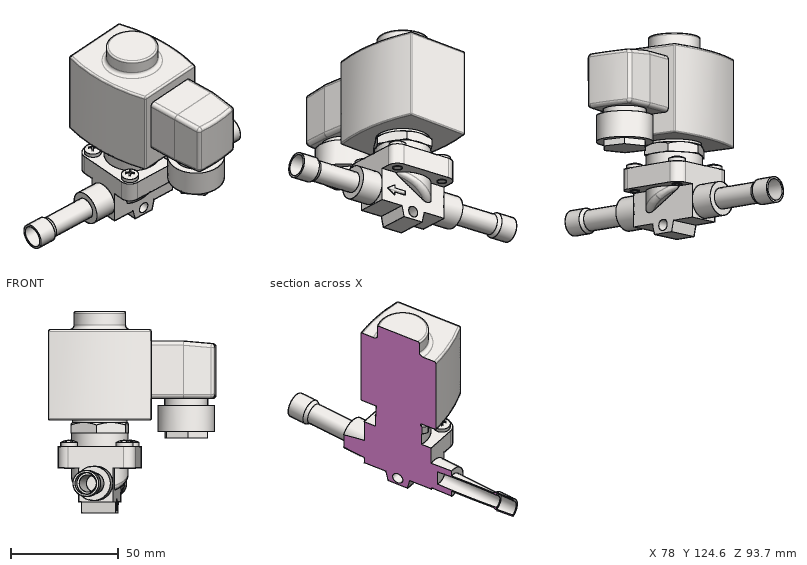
import cadquery as cq
import math


body_bottom = 5.2
pipe_axis_z = 13.8
flange_bottom = 21.0
flange_top = 30.9
nut_bottom = 37.2
nut_top = 42.1
coil_bottom = 43.2
coil_top = 85.3
cap_top = 93.7

body_turn = -6.0
overall_length = 124.6
body_half_length = 18.1
collar_dia = 16.0
body_width = collar_dia
collar_end = 29.0
pipe_dia = 10.0
pipe_bore = 8.0
pipe_bore_end = 21.4
socket_dia = 12.1
socket_bore = 10.1
socket_start = 53.3
flare_length = 1.9
turn_rad = math.radians(abs(body_turn))
pipe_tip = (overall_length / 2 - socket_dia / 2 * math.sin(turn_rad)) / math.cos(turn_rad)

neck_dia = 26.4
seat_tilt = 30.0
seat_rounding = 2.6
seat_floor_z = 14.7
seat_top = 26.2

screw_offset = 13.0
screw_head_dia = 8.0
screw_rim_height = 1.9
screw_head_height = 3.0
screw_shank_dia = 4.5
screw_shank_stickout = 0.4
recess_span = 4.0
recess_width = 0.7
recess_depth = 1.0

nut_across_flats = 25.4
nut_chamfer_angle = 30.0

foot_bottom_length = 10.6
foot_top_length = 13.0
foot_hole_dia = 5.2
foot_hole_z = 3.9

arrow_tip_y = 14.8
arrow_shoulder_y = 10.7
arrow_tail_y = 4.6
arrow_z = 12.1
arrow_half_head = 2.5
arrow_half_shaft = 1.0
arrow_depth = 0.2

coil_width = 47.8
coil_depth_middle = 41.1
coil_depth_ends = 34.1
coil_corner_rounding = 0.6
coil_top_rounding = 1.0
coil_bottom_rounding = 0.6
cap_dia = 24.0
cap_rounding = 0.9
cap_root_rounding = 2.0
cap_root_dia = cap_dia + 2 * cap_root_rounding

plug_bottom = 53.2
plug_size = 26.8
plug_taper_x = 38.9
plug_taper = 5.0
plug_corner_x = 52.8
plug_tip_x = 54.1
plug_rounding = 2.0
plug_tip_rounding = 1.7
gland_x = 40.1
gland_neck_dia = 20.0
gland_nut_dia = 26.4
gland_nut_top = 50.1
gland_nut_bottom = 37.9
gland_hex_bottom = 34.9
gland_hex_corner_dia = 22.0
gland_hex_turn = 34.0


def disc(dia, bottom, top):
    """Upright cylinder on the Z axis."""
    return cq.Workplane("XY", origin=(0, 0, bottom)).circle(dia / 2).extrude(top - bottom)


def make_seat():
    """Round chamber under the flange, cut off by a tilted floor with a rounded rim."""
    drop = body_half_length * math.tan(math.radians(seat_tilt))
    keep = (
        cq.Workplane("YZ", origin=(-body_half_length, 0, 0))
        .moveTo(-body_half_length, seat_floor_z - drop)
        .lineTo(body_half_length, seat_floor_z + drop)
        .lineTo(body_half_length, seat_top)
        .lineTo(-body_half_length, seat_top)
        .close()
        .extrude(2 * body_half_length)
    )
    seat = disc(neck_dia, 0, seat_top).intersect(keep)
    return seat.faces("<Z").edges().fillet(seat_rounding)


def make_foot():
    """Tapered mounting foot running across the body."""
    return (
        cq.Workplane("YZ", origin=(-body_width / 2, 0, 0))
        .moveTo(-foot_bottom_length / 2, 0)
        .lineTo(foot_bottom_length / 2, 0)
        .lineTo(foot_top_length / 2, body_bottom)
        .lineTo(-foot_top_length / 2, body_bottom)
        .close()
        .extrude(body_width)
    )


def make_pipe():
    """Pipe towards +Y: collar, tube and flared solder socket."""
    return (
        cq.Workplane("XY", origin=(0, 0, pipe_axis_z))
        .lineTo(collar_dia / 2, 0)
        .lineTo(collar_dia / 2, collar_end)
        .lineTo(pipe_dia / 2, collar_end)
        .lineTo(pipe_dia / 2, socket_start - flare_length)
        .lineTo(socket_dia / 2, socket_start)
        .lineTo(socket_dia / 2, pipe_tip)
        .lineTo(0, pipe_tip)
        .close()
        .revolve(360, (0, 0, 0), (0, 1, 0))
    )


def make_bore():
    """Stepped bore of the pipe towards +Y."""
    return (
        cq.Workplane("XY", origin=(0, 0, pipe_axis_z))
        .moveTo(0, pipe_bore_end)
        .lineTo(pipe_bore / 2, pipe_bore_end)
        .lineTo(pipe_bore / 2, socket_start)
        .lineTo(socket_bore / 2, socket_start)
        .lineTo(socket_bore / 2, pipe_tip)
        .lineTo(0, pipe_tip)
        .close()
        .revolve(360, (0, 0, 0), (0, 1, 0))
    )


def make_screw():
    """Domed screw head with a cross recess, and the shank end below the flange."""
    radius = screw_head_dia / 2
    dome_height = screw_head_height - screw_rim_height
    dome_radius = (radius**2 + dome_height**2) / (2 * dome_height)
    half_way = radius / 2
    half_way_z = screw_head_height - dome_radius + math.sqrt(dome_radius**2 - half_way**2)
    head = (
        cq.Workplane("XZ")
        .lineTo(radius, 0)
        .lineTo(radius, screw_rim_height)
        .threePointArc((half_way, half_way_z), (0, screw_head_height))
        .close()
        .revolve(360, (0, 0, 0), (0, 1, 0))
        .translate((0, 0, flange_top))
    )
    recess_floor = flange_top + screw_head_height - recess_depth
    for angle in (45, 135):
        slot = (
            cq.Workplane("XY", origin=(0, 0, recess_floor))
            .rect(recess_span, recess_width)
            .extrude(recess_depth)
            .rotate((0, 0, 0), (0, 0, 1), angle)
        )
        head = head.cut(slot)
    shank = disc(screw_shank_dia, flange_bottom - screw_shank_stickout, flange_top)
    return head.union(shank)


def make_hex_nut():
    """Hexagon nut with its upper corners turned off, corners on the pipe axis."""
    corner_dia = nut_across_flats / math.cos(math.radians(30))
    corner_drop = (corner_dia - nut_across_flats) / 2 * math.tan(math.radians(nut_chamfer_angle))
    hexagon = (
        cq.Workplane("XY", origin=(0, 0, nut_bottom))
        .polygon(6, corner_dia)
        .extrude(nut_top - nut_bottom)
        .rotate((0, 0, 0), (0, 0, 1), 30)
    )
    envelope = (
        cq.Workplane("XZ")
        .moveTo(0, nut_bottom)
        .lineTo(corner_dia / 2, nut_bottom)
        .lineTo(corner_dia / 2, nut_top - corner_drop)
        .lineTo(nut_across_flats / 2, nut_top)
        .lineTo(0, nut_top)
        .close()
        .revolve(360, (0, 0, 0), (0, 1, 0))
    )
    return hexagon.intersect(envelope)


def make_arrow():
    """Flow arrow sunk into the -X side of the body, pointing to +Y."""
    return (
        cq.Workplane("YZ", origin=(-body_width / 2, 0, 0))
        .moveTo(arrow_tip_y, arrow_z)
        .lineTo(arrow_shoulder_y, arrow_z + arrow_half_head)
        .lineTo(arrow_shoulder_y, arrow_z + arrow_half_shaft)
        .lineTo(arrow_tail_y, arrow_z + arrow_half_shaft)
        .lineTo(arrow_tail_y, arrow_z - arrow_half_shaft)
        .lineTo(arrow_shoulder_y, arrow_z - arrow_half_shaft)
        .lineTo(arrow_shoulder_y, arrow_z - arrow_half_head)
        .close()
        .extrude(arrow_depth)
    )


def make_valve():
    """Everything below the coil, turned as one piece about the coil axis."""
    block = (
        cq.Workplane("XY", origin=(0, 0, body_bottom))
        .rect(body_width, 2 * body_half_length)
        .extrude(flange_top - body_bottom)
    )
    flange = (
        cq.Workplane("XY", origin=(0, 0, flange_bottom))
        .rect(2 * body_half_length, 2 * body_half_length)
        .extrude(flange_top - flange_bottom)
        .edges("|Z")
        .fillet(body_half_length - screw_offset)
    )
    valve = block.union(make_seat()).union(flange).union(make_foot())

    foot_hole = (
        cq.Workplane("YZ", origin=(-body_width / 2, 0, foot_hole_z))
        .circle(foot_hole_dia / 2)
        .extrude(body_width)
    )
    valve = valve.cut(foot_hole).cut(make_arrow())

    pipe = make_pipe()
    bore = make_bore()
    for angle in (0, 180):
        valve = valve.union(pipe.rotate((0, 0, 0), (0, 0, 1), angle))
    for angle in (0, 180):
        valve = valve.cut(bore.rotate((0, 0, 0), (0, 0, 1), angle))

    screw = make_screw()
    for x in (-screw_offset, screw_offset):
        for y in (-screw_offset, screw_offset):
            valve = valve.union(screw.translate((x, y, 0)))

    neck = disc(neck_dia, flange_top, nut_bottom)
    collar = disc(nut_across_flats, nut_top, coil_bottom)
    valve = valve.union(neck).union(make_hex_nut()).union(collar)
    return valve.rotate((0, 0, 0), (0, 0, 1), body_turn)


def make_coil():
    """Coil housing with bowed -Y and +Y sides and a round cap on top."""
    half_width = coil_width / 2
    housing = (
        cq.Workplane("XY", origin=(0, 0, coil_bottom))
        .moveTo(-half_width, -coil_depth_ends / 2)
        .threePointArc((0, -coil_depth_middle / 2), (half_width, -coil_depth_ends / 2))
        .lineTo(half_width, coil_depth_ends / 2)
        .threePointArc((0, coil_depth_middle / 2), (-half_width, coil_depth_ends / 2))
        .close()
        .extrude(coil_top - coil_bottom)
        .edges("|Z")
        .fillet(coil_corner_rounding)
        .faces(">Z")
        .edges()
        .fillet(coil_top_rounding)
        .faces("<Z")
        .edges()
        .fillet(coil_bottom_rounding)
    )
    sag = cap_root_rounding * (1 - math.sqrt(0.5))
    cap = (
        cq.Workplane("XZ")
        .moveTo(0, coil_top)
        .lineTo(cap_root_dia / 2, coil_top)
        .threePointArc(
            (cap_dia / 2 + sag, coil_top + sag),
            (cap_dia / 2, coil_top + cap_root_rounding),
        )
        .lineTo(cap_dia / 2, cap_top)
        .lineTo(0, cap_top)
        .close()
        .revolve(360, (0, 0, 0), (0, 1, 0))
        .faces(">Z")
        .edges()
        .fillet(cap_rounding)
    )
    return housing.union(cap)


def plug_outline(x, shrink):
    """Rounded square outline of the plug at x, its top and both sides moved in by shrink."""
    width = plug_size - 2 * shrink
    height = plug_size - shrink
    plane = cq.Plane((x, 0, plug_bottom + height / 2), xDir=(0, 1, 0), normal=(1, 0, 0))
    outline = cq.Sketch().rect(width, height).vertices().fillet(plug_rounding)
    return outline.moved(cq.Location(plane))


def make_plug():
    """Plug connector on the +X side, tapering on its top and sides to a bowed tip."""
    half = plug_size / 2
    root = plug_outline(coil_width / 2, 0)
    crease = plug_outline(plug_taper_x, 0)
    blank_end_x = plug_tip_x + plug_rounding
    blank_shrink = (blank_end_x - plug_taper_x) * math.tan(math.radians(plug_taper))
    blank_end = plug_outline(blank_end_x, blank_shrink)

    straight = cq.Workplane("XY").placeSketch(root, crease).loft(ruled=True)
    bowed_end = (
        cq.Workplane("XY", origin=(0, 0, plug_bottom))
        .moveTo(0, -half)
        .lineTo(plug_corner_x, -half)
        .threePointArc((plug_tip_x, 0), (plug_corner_x, half))
        .lineTo(0, half)
        .close()
        .extrude(plug_size)
    )
    tapered = cq.Workplane("XY").placeSketch(crease, blank_end).loft(ruled=True)
    tapered = tapered.intersect(bowed_end).faces(">X").edges().fillet(plug_tip_rounding)
    return straight.union(tapered)


def make_gland():
    """Cable gland below the plug: neck, round nut and hexagon end."""
    neck = disc(gland_neck_dia, gland_nut_top, plug_bottom)
    nut = disc(gland_nut_dia, gland_nut_bottom, gland_nut_top)
    hexagon = (
        cq.Workplane("XY", origin=(0, 0, gland_hex_bottom))
        .polygon(6, gland_hex_corner_dia)
        .extrude(gland_nut_bottom - gland_hex_bottom)
        .rotate((0, 0, 0), (0, 0, 1), gland_hex_turn)
    )
    return neck.union(nut).union(hexagon).translate((gland_x, 0, 0))


result = make_valve().union(make_coil()).union(make_plug()).union(make_gland())